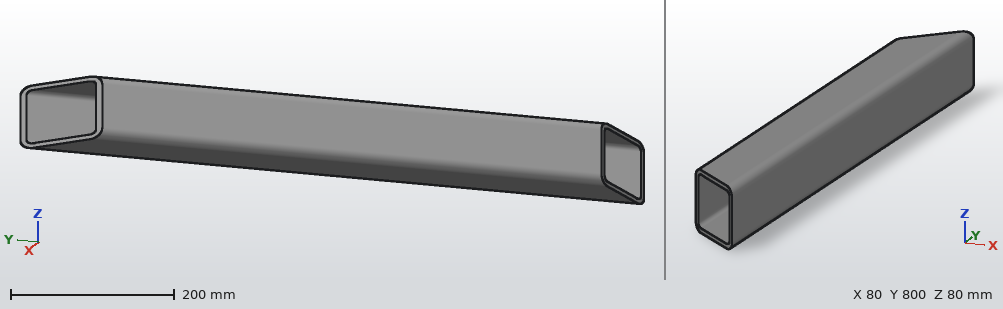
import cadquery as cq

length = 800.0
side = 80.0
wall = 6.0
outer_radius = 12.0
inner_radius = outer_radius - wall


def rounded_bar(width, corner_radius):
    """Square bar along Y, centred on the origin, with rounded long edges."""
    return cq.Workplane("XY").box(width, length, width).edges("|Y").fillet(corner_radius)


def mitre_envelope():
    """Trapezoid prism whose sloping ends make the 45 degree mitres."""
    half_side = side / 2
    long_half = length / 2
    short_half = long_half - side
    corners = [
        (half_side, -long_half),
        (half_side, long_half),
        (-half_side, short_half),
        (-half_side, -short_half),
    ]
    return cq.Workplane("XY").polyline(corners).close().extrude(half_side, both=True)


tube = rounded_bar(side, outer_radius).cut(rounded_bar(side - 2 * wall, inner_radius))
result = tube.intersect(mitre_envelope())